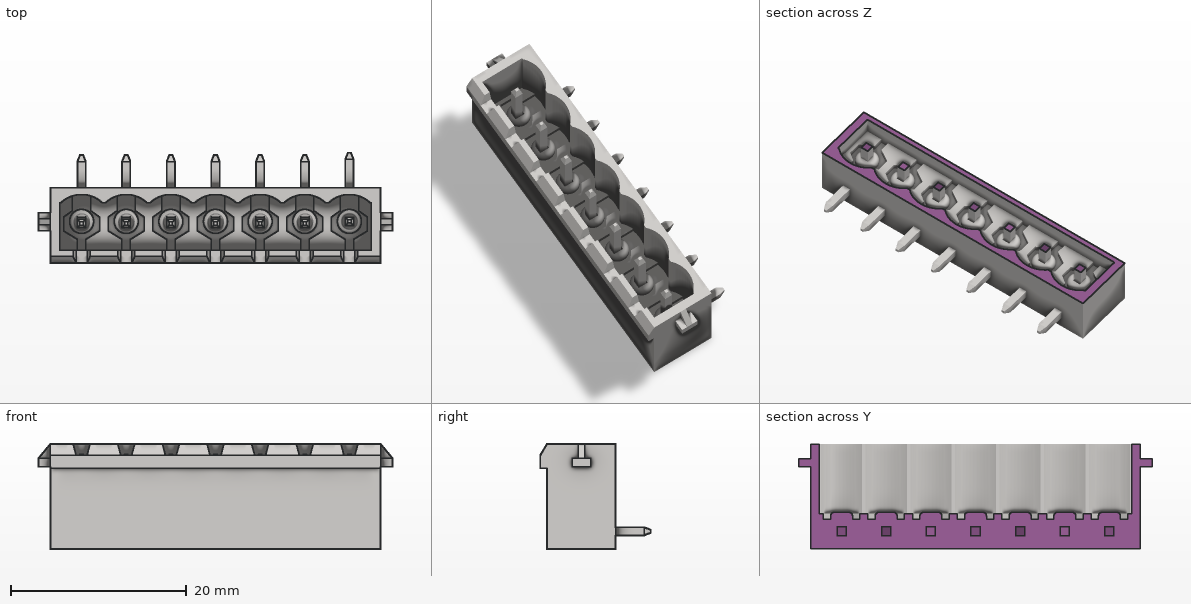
import cadquery as cq


pin_count = 7
pitch = 5.1
pin_row_y = -3.85
pin_x_places = [(i - (pin_count - 1) / 2) * pitch for i in range(pin_count)]

overall_length = 40.35
housing_length = 37.6
housing_depth = 7.85
housing_height = 12.0

lip_overhang = 0.75
lip_height = 2.8
lip_chamfer_height = 1.3
front_y = -housing_depth - lip_overhang
notch_floor_z = housing_height - lip_chamfer_height

cavity_back_y = -1.7
cavity_front_y = -7.15
cavity_floor_z = 4.05
scallop_chord = 4.7
scallop_rise = 0.93
end_margin = 0.15
cavity_length = (pin_count - 1) * pitch + scallop_chord + 2 * end_margin

recess_depth = 0.6
recess_floor_z = cavity_floor_z - recess_depth
recess_width = 4.1
recess_back_channel_width = 2.1
recess_front_channel_width = 0.95
recess_neck_back_y = -2.62
recess_side_back_y = -3.35
recess_side_front_y = -4.92
recess_neck_front_y = -5.9

collar_diameter = 2.75
collar_height = 0.8
collar_top_z = recess_floor_z + collar_height
collar_rounding = 0.5

notch_top_width = 1.95
notch_bottom_width = 1.25

tab_center_y = -3.87
tab_width = 2.1
tab_drop = 1.65
tab_top_z = housing_height - tab_drop
tab_thickness = 0.95
tab_rib_width = 0.73

pin_size = 0.95
pin_tip_size = 0.35
pin_tip_length = 0.75
tail_z = 2
tail_reach = 4.0
pin_top_z = 10.78
short_pin_setback = 0.25
tail_bottom_z = tail_z - pin_size / 2


def box_between(x_range, y_range, z_range):
    """Box given by its limits along each axis."""
    lengths = [limits[1] - limits[0] for limits in (x_range, y_range, z_range)]
    corner = (x_range[0], y_range[0], z_range[0])
    return cq.Workplane("XY").box(*lengths, centered=False).translate(corner)


def housing_block():
    """Block with the chamfered lip, extruded along the row from its end profile."""
    profile = [
        (0, 0),
        (-housing_depth, 0),
        (-housing_depth, housing_height - lip_height),
        (front_y, housing_height - lip_height),
        (front_y, notch_floor_z),
        (-housing_depth, housing_height),
        (0, housing_height),
    ]
    return cq.Workplane("YZ").polyline(profile).close().extrude(housing_length / 2, both=True)


def scalloped_cavity(floor_z):
    """Cavity volume from floor_z up to the top, with its scalloped back wall."""
    outline = cq.Workplane("XY", origin=(0, 0, floor_z))
    outline = outline.moveTo(-cavity_length / 2, cavity_front_y)
    outline = outline.lineTo(-cavity_length / 2, cavity_back_y)
    for x in pin_x_places:
        outline = outline.lineTo(x - scallop_chord / 2, cavity_back_y)
        outline = outline.threePointArc(
            (x, cavity_back_y + scallop_rise),
            (x + scallop_chord / 2, cavity_back_y),
        )
    outline = outline.lineTo(cavity_length / 2, cavity_back_y)
    outline = outline.lineTo(cavity_length / 2, cavity_front_y)
    return outline.close().extrude(housing_height - floor_z)


def floor_recess(x):
    """Keyhole recess from the back scallop to the front wall, around the contact at x."""
    right_side = [
        (recess_back_channel_width / 2, 0),
        (recess_back_channel_width / 2, recess_neck_back_y),
        (recess_width / 2, recess_side_back_y),
        (recess_width / 2, recess_side_front_y),
        (recess_front_channel_width / 2, recess_neck_front_y),
        (recess_front_channel_width / 2, cavity_front_y),
    ]
    left_side = [(-half_width, y) for half_width, y in reversed(right_side)]
    keyhole = cq.Workplane("XY", origin=(x, 0, recess_floor_z)).polyline(right_side + left_side)
    return keyhole.close().extrude(recess_depth).intersect(scalloped_cavity(recess_floor_z))


def collar(x):
    """Round collar with a rounded rim, standing on the recess floor."""
    base = cq.Workplane("XY", origin=(x, pin_row_y, recess_floor_z)).circle(collar_diameter / 2)
    return base.extrude(collar_height).faces(">Z").edges().fillet(collar_rounding)


def front_notch(x):
    """Notch through the front wall that narrows towards its floor."""
    profile = [
        (x - notch_bottom_width / 2, notch_floor_z),
        (x + notch_bottom_width / 2, notch_floor_z),
        (x + notch_top_width / 2, housing_height),
        (x - notch_top_width / 2, housing_height),
    ]
    section = cq.Workplane("XZ", origin=(0, cavity_front_y, 0)).polyline(profile).close()
    return section.extrude(cavity_front_y - front_y)


def pin_axis_y(tail_tip_y):
    """Y of a pin's upright axis, a fixed distance forward of its tail tip."""
    return pin_row_y + tail_tip_y - tail_reach


def pin_passage(x, tail_tip_y):
    """Bent passage for one pin; its upright part reaches back to the nominal pin row,
    which leaves a gap behind a pin that sits forward."""
    x_range = (x - pin_size / 2, x + pin_size / 2)
    y_front = pin_axis_y(tail_tip_y) - pin_size / 2
    y_back = pin_row_y + pin_size / 2
    upright = box_between(x_range, (y_front, y_back), (tail_bottom_z, collar_top_z))
    tail = box_between(x_range, (y_front, 0), (tail_bottom_z, tail_bottom_z + pin_size))
    return upright.union(tail)


def coding_tab():
    """Tab on the +X end: a flat foot below a triangular rib."""
    end_x = housing_length / 2
    tip_x = overall_length / 2
    foot = box_between(
        (end_x, tip_x),
        (tab_center_y - tab_width / 2, tab_center_y + tab_width / 2),
        (tab_top_z - tab_thickness, tab_top_z),
    )
    triangle = [(end_x, tab_top_z), (tip_x, tab_top_z), (end_x, housing_height)]
    rib = cq.Workplane("XZ", origin=(0, tab_center_y, 0)).polyline(triangle).close()
    return foot.union(rib.extrude(tab_rib_width / 2, both=True))


def make_housing(tail_tips):
    tab = coding_tab()
    housing = housing_block().cut(scalloped_cavity(cavity_floor_z))
    housing = housing.union(tab).union(tab.mirror("YZ"))
    for x, tail_tip_y in zip(pin_x_places, tail_tips):
        housing = housing.cut(floor_recess(x)).cut(front_notch(x))
        housing = housing.union(collar(x)).cut(pin_passage(x, tail_tip_y))
    return housing


def tapered_tip(plane):
    """Four-sided tip that starts at the plane and narrows along its normal."""
    tip = cq.Workplane(plane).rect(pin_size, pin_size)
    return tip.workplane(offset=pin_tip_length).rect(pin_tip_size, pin_tip_size).loft()


def make_pin(x, tail_tip_y):
    """Square pin bent at a right angle, with a tapered tip at both ends."""
    axis_y = pin_axis_y(tail_tip_y)
    tail_shoulder_y = tail_tip_y - pin_tip_length
    top_shoulder_z = pin_top_z - pin_tip_length
    x_range = (x - pin_size / 2, x + pin_size / 2)
    y_front = axis_y - pin_size / 2
    upright = box_between(x_range, (y_front, y_front + pin_size), (tail_bottom_z, top_shoulder_z))
    tail = box_between(x_range, (y_front, tail_shoulder_y), (tail_bottom_z, tail_bottom_z + pin_size))
    top_tip = tapered_tip(cq.Plane((x, axis_y, top_shoulder_z), (1, 0, 0), (0, 0, 1)))
    tail_tip = tapered_tip(cq.Plane((x, tail_shoulder_y, tail_z), (1, 0, 0), (0, 1, 0)))
    return upright.union(tail).union(top_tip).union(tail_tip)


tail_tips = [tail_reach - short_pin_setback] * (pin_count - 1) + [tail_reach]
housing = make_housing(tail_tips)
pins = [make_pin(x, tip_y) for x, tip_y in zip(pin_x_places, tail_tips)]

result = cq.Compound.makeCompound([housing.val(), *[pin.val() for pin in pins]])